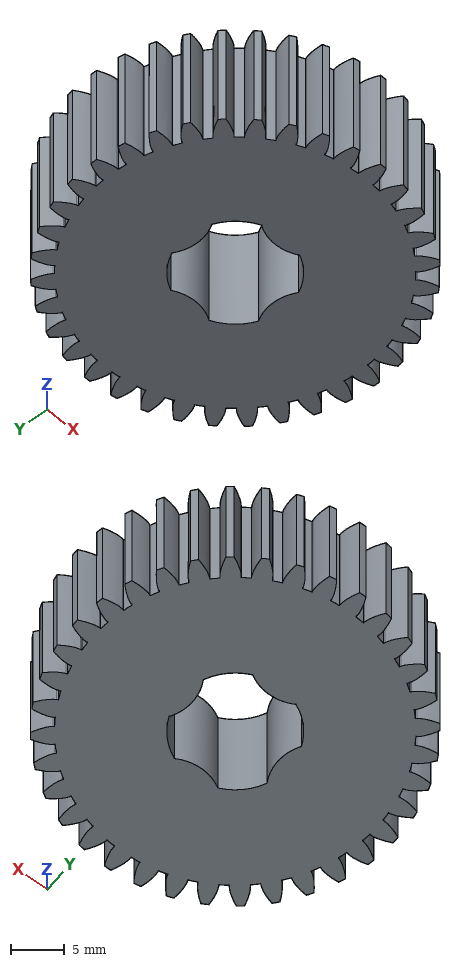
import cadquery as cq
import math

module = 1.0
tooth_count = 36
pressure_angle = math.radians(20)
dedendum_factor = 1.25
face_width = 12.5

pitch_radius = module * tooth_count / 2
tip_radius = pitch_radius + module
root_radius = pitch_radius - dedendum_factor * module
base_radius = pitch_radius * math.cos(pressure_angle)
flank_points = 5

bore_radius = 6.35
lobe_radius = 5.0
lobe_gap = 10.2
lobe_count = 4
lobe_center_radius = lobe_gap / 2 + lobe_radius


def polar(radius, angle):
    return (radius * math.cos(angle), radius * math.sin(angle))


def involute_angle(radius):
    """Angle swept by the involute from the base circle out to a radius."""
    roll = math.sqrt(max((radius / base_radius) ** 2 - 1, 0))
    return roll - math.atan(roll)


base_half_angle = math.pi / (2 * tooth_count) + involute_angle(pitch_radius)


def half_angle(radius):
    """Half the angle a tooth spans at a radius."""
    return base_half_angle - involute_angle(radius)


def flank_radii():
    step = (tip_radius - base_radius) / (flank_points - 1)
    return [base_radius + i * step for i in range(flank_points)]


def add_tooth(outline, center):
    """Draw one tooth, then the root arc leading to the next tooth."""
    radii = flank_radii()
    rising = [polar(r, center - half_angle(r)) for r in radii]
    falling = [polar(r, center + half_angle(r)) for r in reversed(radii)]
    pitch_angle = 2 * math.pi / tooth_count
    next_root = polar(root_radius, center + pitch_angle - base_half_angle)

    outline = outline.lineTo(*rising[0])
    outline = outline.spline(rising[1:], includeCurrent=True)
    outline = outline.threePointArc(polar(tip_radius, center), falling[0])
    outline = outline.spline(falling[1:], includeCurrent=True)
    outline = outline.lineTo(*polar(root_radius, center + base_half_angle))
    return outline.threePointArc(polar(root_radius, center + pitch_angle / 2), next_root)


def make_gear_blank():
    outline = cq.Workplane("XY").moveTo(*polar(root_radius, -base_half_angle))
    for i in range(tooth_count):
        outline = add_tooth(outline, 2 * math.pi * i / tooth_count)
    return outline.close().extrude(face_width)


def make_bore():
    bore = cq.Workplane("XY").circle(bore_radius).extrude(face_width)
    lobes = (
        cq.Workplane("XY")
        .polarArray(lobe_center_radius, 0, 360, lobe_count)
        .circle(lobe_radius)
        .extrude(face_width)
    )
    return bore.cut(lobes)


result = make_gear_blank().cut(make_bore())